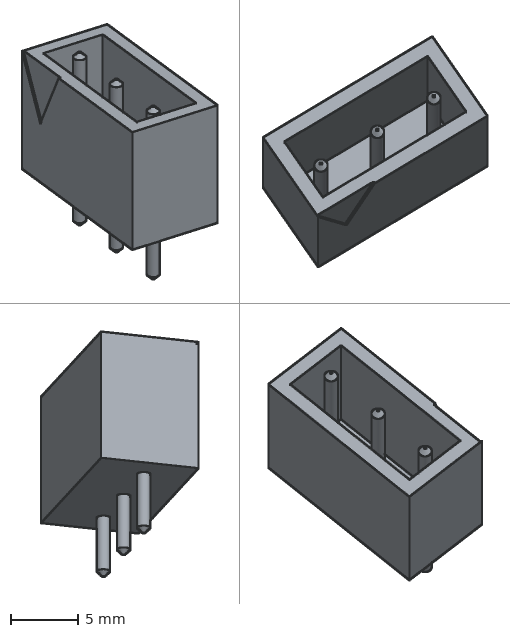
import cadquery as cq

length = 15.0
width = 7.6
height = 10.0
wall = 1.15
floor_thickness = wall

pin_count = 3
pitch = length / pin_count
pin_row_y = -0.3
pin_diameter = 1.0
pin_tip_diameter = 0.2
pin_chamfer = (pin_diameter - pin_tip_diameter) / 2
pin_drop = 4.65
pin_top = height

mark_width = pitch
mark_height = pitch
mark_depth = 0.15


def make_pin(x):
    """Round pin at the given X, with a conical chamfer at each end."""
    return (
        cq.Workplane("XY", origin=(x, pin_row_y, -pin_drop))
        .circle(pin_diameter / 2)
        .extrude(pin_drop + pin_top)
        .faces("<Z or >Z")
        .chamfer(pin_chamfer)
    )


def make_cavity():
    """Rectangular cavity, open at the top."""
    return (
        cq.Workplane("XY", origin=(0, 0, floor_thickness))
        .rect(length - 2 * wall, width - 2 * wall)
        .extrude(height - floor_thickness)
    )


def make_mark():
    """Downward-pointing triangle that starts at the top left corner of the front face."""
    left = -length / 2
    return (
        cq.Workplane("XZ", origin=(0, -width / 2, 0))
        .moveTo(left, height)
        .lineTo(left + mark_width, height)
        .lineTo(left + mark_width / 2, height - mark_height)
        .close()
        .extrude(-mark_depth)
    )


def make_housing(pins):
    """Box with its cavity and mark, and a matching hole in the floor for each pin."""
    housing = cq.Workplane("XY").box(length, width, height, centered=(True, True, False))
    housing = housing.cut(make_cavity()).cut(make_mark())
    for pin in pins:
        housing = housing.cut(pin)
    return housing


first_pin_x = -pitch * (pin_count - 1) / 2
pins = [make_pin(first_pin_x + i * pitch) for i in range(pin_count)]
housing = make_housing(pins)

result = cq.Compound.makeCompound([housing.val(), *[pin.val() for pin in pins]])